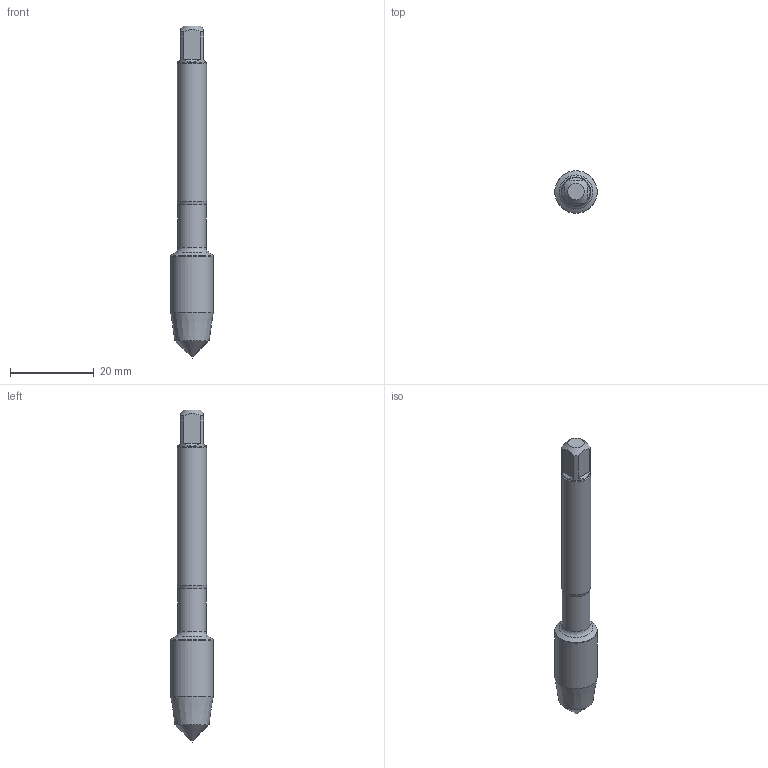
import cadquery as cq
import math

total_length = 79.3

head_diameter = 10.15
lead_small_diameter = 8.16
tip_length = lead_small_diameter / 2
lead_end_z = 10.9
head_end_z = 24.3

collar_diameter = 10.16
collar_height = 0.15
collar_end_z = head_end_z + collar_height

neck_diameter = 6.7
flare_radius = 1.4
flare_angle = math.radians(60)
neck_start_z = 26.4

shank_diameter = 7.0
square_corner_diameter = 6.72
shank_start_z = 37.3
shank_step_height = 0.7
shank_end_z = 70.5
shank_edge_chamfer = (shank_diameter - square_corner_diameter) / 2

square_sides = 4
square_width = 5.5
square_start_z = 71.3
shoulder_angle = math.radians(45)
square_top_diameter = 3.9


def revolve_profile(profile):
    return profile.close().revolve(360, (0, 0, 0), (0, 1, 0))


def make_head():
    head_radius = head_diameter / 2
    profile = (
        cq.Workplane("XZ")
        .lineTo(lead_small_diameter / 2, tip_length)
        .lineTo(head_radius, lead_end_z)
        .lineTo(head_radius, head_end_z)
        .lineTo(0, head_end_z)
    )
    return revolve_profile(profile)


def flare_point(angle):
    return (
        neck_diameter / 2 + flare_radius * (1 - math.cos(angle)),
        neck_start_z - flare_radius * math.sin(angle),
    )


def make_turned_shank():
    neck_radius = neck_diameter / 2
    shank_radius = shank_diameter / 2
    collar_radius = collar_diameter / 2
    corner_radius = square_corner_diameter / 2
    square_top_radius = square_top_diameter / 2
    top_chamfer = corner_radius - square_top_radius

    profile = (
        cq.Workplane("XZ")
        .moveTo(0, head_end_z)
        .lineTo(collar_radius, head_end_z)
        .lineTo(collar_radius, collar_end_z)
        .lineTo(*flare_point(flare_angle))
        .threePointArc(flare_point(flare_angle / 2), flare_point(0))
        .lineTo(neck_radius, shank_start_z - shank_step_height)
        .lineTo(shank_radius, shank_start_z)
        .lineTo(shank_radius, shank_end_z - shank_edge_chamfer)
        .lineTo(corner_radius, shank_end_z)
        .lineTo(corner_radius, total_length - top_chamfer)
        .lineTo(square_top_radius, total_length)
        .lineTo(0, total_length)
    )
    return revolve_profile(profile)


def make_flat_cutter():
    flat_x = square_width / 2
    outer_x = shank_diameter
    shoulder_drop = (outer_x - flat_x) * math.tan(shoulder_angle)
    return (
        cq.Workplane("XZ")
        .moveTo(flat_x, square_start_z)
        .lineTo(outer_x, square_start_z - shoulder_drop)
        .lineTo(outer_x, total_length)
        .lineTo(flat_x, total_length)
        .close()
        .extrude(shank_diameter / 2, both=True)
    )


def make_shank():
    shank = make_turned_shank()
    flat_cutter = make_flat_cutter()
    for side in range(square_sides):
        shank = shank.cut(flat_cutter.rotate((0, 0, 0), (0, 0, 1), side * 360 / square_sides))
    return shank


head = make_head()
shank = make_shank()
result = cq.Compound.makeCompound([head.val(), shank.val()])